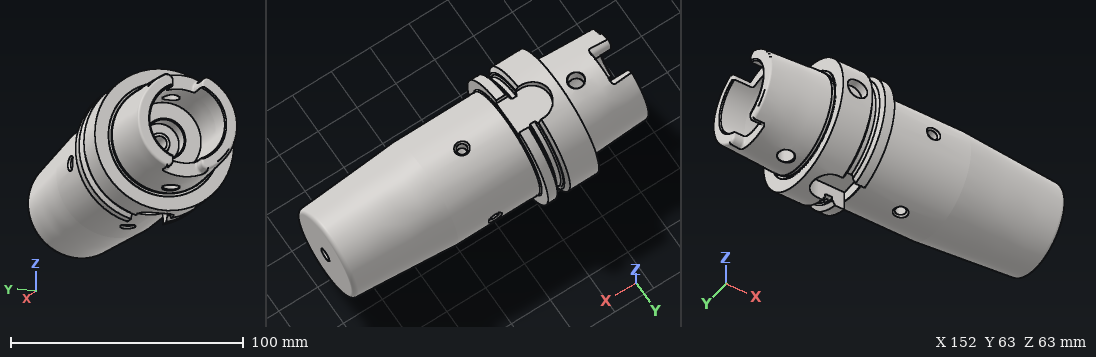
import cadquery as cq
import math


overall_length = 152.0

shank_length = 31.8
tip_diameter = 45.3
shank_root_diameter = 48.2
tip_fillet = 1.2
root_cylinder_length = 2.0

undercut_shank_width = 0.9
undercut_shank_depth = 0.2
undercut_flange_depth = 0.5
undercut_outer_diameter = 50.5

flange_diameter = 63.0
flange_length = 26.3
groove_centre = shank_length + 18.2
groove_mouth_width = 6.5
groove_neck_width = 3.8
groove_neck_diameter = 58.4
groove_floor_diameter = 54.7
groove_floor_fillet = 0.8

barrel_diameter = 52.0
barrel_root_fillet = 0.6
nose_start = 100.8
nose_end_diameter = 44.7
nose_fillet = 2.3

bore_diameter = 33.9
bore_chamfer = 0.6
bore_straight_depth = 12.8
bore_depth = 30.4
bore_floor_diameter = 32.2
thread_diameter = 17.3
thread_depth = 7.6
thread_chamfer = 0.5
passage_diameter = 6.4

screw_diameter = 9.0
screw_length = 15.2

drive_slot_width = 12.6
drive_slot_depth_top = 10.3
drive_slot_depth_bottom = 6.2
drive_slot_floor_fillet = 1.2
drive_slot_lip_radius = 3.0
drive_slot_lip_angle = 70.0
drive_slot_mouth_width = 18.4

key_slot_start = shank_length + 4.9
key_slot_width_top = 18.0
key_slot_width_bottom = 16.0
key_slot_floor_top = 26.5
key_slot_floor_bottom = 20.0

access_hole_position = 22.8
access_hole_diameter = 7.5
access_hole_mouth_diameter = 8.2
chip_hole_position = shank_length + 7.3
chip_hole_diameter = 10.0
chip_hole_depth = 4.5
balance_hole_position = 81.6
balance_hole_diameter = 5.0
balance_hole_mouth_diameter = 7.0
balance_hole_depth = 6.1
balance_hole_count = 4
drill_point_angle = 118.0
hole_clearance = 1.5


def disc(start, length, diameter):
    """Cylinder along X."""
    return cq.Workplane("YZ", origin=(start, 0, 0)).circle(diameter / 2).extrude(length)


def cone_frustum(start, length, start_diameter, end_diameter):
    """Cone frustum along X."""
    return (
        cq.Workplane("XY")
        .moveTo(start, 0)
        .lineTo(start, start_diameter / 2)
        .lineTo(start + length, end_diameter / 2)
        .lineTo(start + length, 0)
        .close()
        .revolve(360, (0, 0, 0), (1, 0, 0))
    )


def turned_over(cutter):
    """Turn a +Z cutter to the -Z side."""
    return cutter.rotate((0, 0, 0), (1, 0, 0), 180)


def make_shank():
    """Tapered shank that ends in a short cylinder at the flange."""
    taper_length = shank_length - root_cylinder_length
    taper = cone_frustum(0, taper_length, tip_diameter, shank_root_diameter)
    return taper.union(disc(taper_length, root_cylinder_length, shank_root_diameter))


def make_undercut():
    """Ring cutter for the undercut at the corner between shank and flange."""
    start = shank_length - undercut_shank_width
    width = undercut_shank_width + undercut_flange_depth
    inner_diameter = shank_root_diameter - 2 * undercut_shank_depth
    return disc(start, width, undercut_outer_diameter).cut(disc(start, width, inner_diameter))


def make_drive_slot(depth):
    """Cutter for the drive slot on the +Z side, with lips that curve outwards to a wider mouth."""
    wall = drive_slot_width / 2
    mouth = drive_slot_mouth_width / 2
    mouth_height = math.sqrt((tip_diameter / 2) ** 2 - mouth ** 2)
    turn = math.radians(drive_slot_lip_angle)
    arc_end = wall + drive_slot_lip_radius * (1 - math.cos(turn))
    arc_end_height = mouth_height - (mouth - arc_end) / math.tan(turn)
    arc_start_height = arc_end_height - drive_slot_lip_radius * math.sin(turn)
    arc_middle = wall + drive_slot_lip_radius * (1 - math.cos(turn / 2))
    arc_middle_height = arc_start_height + drive_slot_lip_radius * math.sin(turn / 2)
    clear_height = flange_diameter / 2
    clear_edge = mouth + (clear_height - mouth_height) * math.tan(turn)
    half_profile = (
        cq.Workplane("YZ")
        .lineTo(wall, 0)
        .lineTo(wall, arc_start_height)
        .threePointArc((arc_middle, arc_middle_height), (arc_end, arc_end_height))
        .lineTo(clear_edge, clear_height)
        .lineTo(0, clear_height)
    )
    slot = half_profile.mirrorY().extrude(depth)
    return slot.faces(">X").edges().fillet(drive_slot_floor_fillet)


def cut_drive_slots(shank):
    """Cut both drive slots and round the tip of the shank."""
    shank = shank.cut(make_drive_slot(drive_slot_depth_top))
    shank = shank.cut(turned_over(make_drive_slot(drive_slot_depth_bottom)))
    return shank.edges("<X").fillet(tip_fillet)


def make_groove():
    """Ring cutter for the V groove around the flange."""
    mouth = groove_mouth_width / 2
    neck = groove_neck_width / 2
    mouth_radius = flange_diameter / 2
    floor_radius = groove_floor_diameter / 2
    groove = (
        cq.Workplane("XY", origin=(groove_centre, 0, 0))
        .moveTo(-mouth, mouth_radius)
        .lineTo(-neck, groove_neck_diameter / 2)
        .lineTo(-neck, floor_radius)
        .lineTo(neck, floor_radius)
        .lineTo(neck, groove_neck_diameter / 2)
        .lineTo(mouth, mouth_radius)
        .close()
        .revolve(360, (0, 0, 0), (1, 0, 0))
    )
    floor_corners = cq.selectors.RadiusNthSelector(0)
    return groove.edges(floor_corners).fillet(groove_floor_fillet)


def make_key_slot(width, floor_height):
    """Cutter for a round-ended key slot on the +Z side, open at the barrel end of the flange."""
    flange_end = shank_length + flange_length
    round_centre = key_slot_start + width / 2
    height = flange_diameter / 2 - floor_height
    plane = cq.Workplane("XY", origin=(0, 0, floor_height))
    round_end = plane.center(round_centre, 0).circle(width / 2).extrude(height)
    straight_length = flange_end - round_centre
    straight_plane = cq.Workplane("XY", origin=(round_centre + straight_length / 2, 0, floor_height))
    straight = straight_plane.rect(straight_length, width).extrude(height)
    return round_end.union(straight)


def make_flange():
    """Flange with its V groove and its two key slots."""
    flange = disc(shank_length, flange_length, flange_diameter).cut(make_groove())
    flange = flange.cut(make_key_slot(key_slot_width_top, key_slot_floor_top))
    return flange.cut(turned_over(make_key_slot(key_slot_width_bottom, key_slot_floor_bottom)))


def make_barrel():
    """Cylindrical barrel and nose tapering to a rounded end."""
    flange_end = shank_length + flange_length
    barrel = disc(flange_end, nose_start - flange_end, barrel_diameter)
    nose = cone_frustum(nose_start, overall_length - nose_start, barrel_diameter, nose_end_diameter)
    nose = nose.faces(">X").edges().fillet(nose_fillet)
    root = cone_frustum(
        flange_end, barrel_root_fillet, barrel_diameter + 2 * barrel_root_fillet, barrel_diameter
    )
    return barrel.union(nose).union(root)


def make_bores():
    """Cutter for the stepped bore along the axis, with the recess of the stop screw."""
    straight = disc(0, bore_straight_depth, bore_diameter)
    narrowing = cone_frustum(
        bore_straight_depth, bore_depth - bore_straight_depth, bore_diameter, bore_floor_diameter
    )
    mouth = cone_frustum(0, bore_chamfer, bore_diameter + 2 * bore_chamfer, bore_diameter)
    thread = disc(bore_depth, thread_depth, thread_diameter)
    thread_mouth = cone_frustum(
        bore_depth, thread_chamfer, thread_diameter + 2 * thread_chamfer, thread_diameter
    )
    recess = disc(bore_depth + thread_depth, screw_length, screw_diameter)
    passage = disc(0, overall_length, passage_diameter)
    return straight.union(narrowing).union(mouth).union(thread).union(thread_mouth).union(recess).union(passage)


def make_radial_hole(position, surface_radius, diameter, mouth_diameter, floor, point=0.0):
    """Cutter for a +Z hole with a chamfered mouth, and a conical point below its floor."""
    chamfer = (mouth_diameter - diameter) / 2
    return (
        cq.Workplane("XZ", origin=(position, 0, 0))
        .moveTo(0, floor - point)
        .lineTo(diameter / 2, floor)
        .lineTo(diameter / 2, surface_radius - chamfer)
        .lineTo(mouth_diameter / 2, surface_radius)
        .lineTo(mouth_diameter / 2, surface_radius + hole_clearance)
        .lineTo(0, surface_radius + hole_clearance)
        .close()
        .revolve(360, (0, 0, 0), (0, 1, 0))
    )


def make_access_hole():
    """Cutter for the +Z access hole, from the shank surface into the bore."""
    taper = (shank_root_diameter - tip_diameter) / (shank_length - root_cylinder_length)
    surface_radius = (tip_diameter + taper * access_hole_position) / 2
    return make_radial_hole(
        access_hole_position, surface_radius, access_hole_diameter, access_hole_mouth_diameter, 0
    )


def make_balance_hole():
    """Cutter for the +Z balance hole."""
    surface_radius = barrel_diameter / 2
    point = balance_hole_diameter / 2 / math.tan(math.radians(drill_point_angle / 2))
    return make_radial_hole(
        balance_hole_position,
        surface_radius,
        balance_hole_diameter,
        balance_hole_mouth_diameter,
        surface_radius - balance_hole_depth,
        point,
    )


def make_chip_hole():
    """Cutter for the flat-bottomed hole on the -Y side of the flange."""
    floor = flange_diameter / 2 - chip_hole_depth
    return (
        cq.Workplane("XZ", origin=(chip_hole_position, -floor, 0))
        .circle(chip_hole_diameter / 2)
        .extrude(chip_hole_depth)
    )


def make_housing():
    """Shank, flange and barrel in one piece, with all bores and holes."""
    shank = cut_drive_slots(make_shank())
    housing = shank.union(make_flange()).union(make_barrel()).cut(make_bores())
    housing = housing.cut(make_undercut()).cut(make_chip_hole())
    housing = housing.cut(make_access_hole()).cut(turned_over(make_access_hole()))
    for index in range(balance_hole_count):
        housing = housing.cut(
            make_balance_hole().rotate((0, 0, 0), (1, 0, 0), index * 360 / balance_hole_count)
        )
    return housing


def make_stop_screw():
    """Hollow stop screw that fills the recess behind the thread bore."""
    start = bore_depth + thread_depth
    return disc(start, screw_length, screw_diameter).cut(disc(start, screw_length, passage_diameter))


housing = make_housing()
stop_screw = make_stop_screw()
result = cq.Compound.makeCompound([housing.val(), stop_screw.val()])